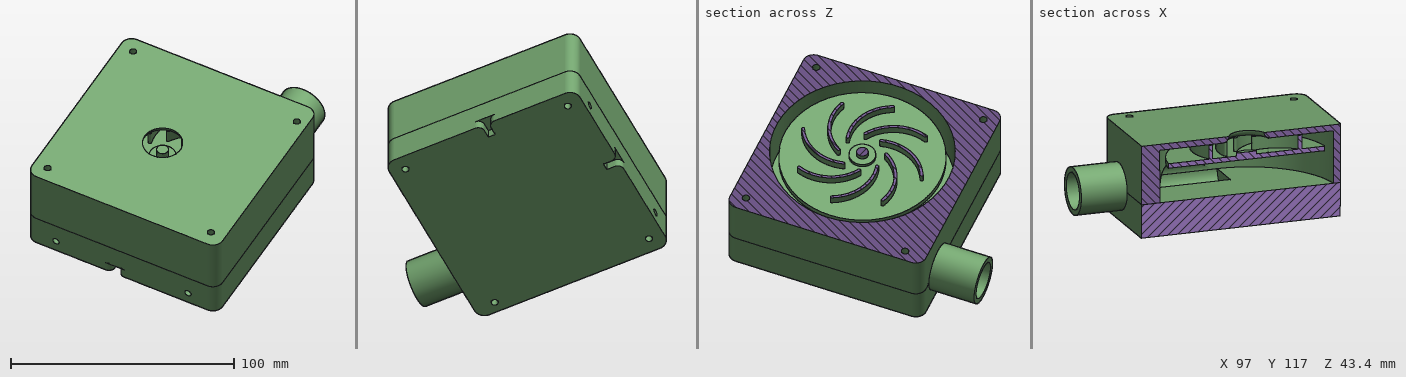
import cadquery as cq
import math

CASE_X = 97.0
CASE_Y = 95.1
CASE_Z = 43.4
SPLIT_Z = 15.9
CORNER_RADIUS = 5.0
SCREW_DIAMETER = 3.2
SCREW_POINTS = [(-41.5, 40.4), (43.3, 37.3), (-41.5, -40.5), (41.4, -40.5)]

AXIS_X = -3.5
AXIS_Y = -2.6
CHAMBER_DIAMETER = 83.0
TOP_PLATE = 3.0
INLET_DIAMETER = 18.0
CHAMBER_TOP_Z = CASE_Z - TOP_PLATE

TUBE_X = 29.4
TUBE_DIAMETER = 22.0
TUBE_BORE = 17.0
TOTAL_Y = 117.0
TUBE_END_Y = TOTAL_Y - CASE_Y / 2
TUBE_SEAT_DEPTH = 9.4
TUBE_START_Y = CASE_Y / 2 - TUBE_SEAT_DEPTH

NOTCH_HEIGHT = 4.8
NOTCH_WIDTH = 3.4
NOTCH_FLARE = 3.0
NOTCH_DEPTH = 7.0
NOTCH_X = -3.5
NOTCH_Y = -2.6
MOUNT_DIAMETER = 3.2
MOUNT_SPACING = 67.0
MOUNT_Z = 6.0
MOUNT_DEPTH = 7.0

IMPELLER_DIAMETER = 75.0
BACKPLATE_TOP_Z = CASE_Z - 9.6
BACKPLATE_THICKNESS = 2.3
HUB_DIAMETER = 12.0
HUB_TOP_Z = CASE_Z - 8.2
BLADE_COUNT = 8
BLADE_HEIGHT = 6.4
BLADE_THICKNESS = 1.5
BLADE_INNER_RADIUS = 10.8
BLADE_FIRST_ANGLE = 60
BLADE_LEAN = -46
BLADE_CURVE_RADIUS = 21.1
BLADE_ARC = 80

SHAFT_DIAMETER = 5.4
SHAFT_TOP_Z = CASE_Z - 4.3
SHAFT_SEAT_DEPTH = 7.0

QUARTER_ROUND_MIDDLE = math.radians(45)


def upright_cylinder(diameter, bottom, top, x=AXIS_X, y=AXIS_Y):
    return cq.Workplane("XY", origin=(x, y, bottom)).circle(diameter / 2).extrude(top - bottom)


def outlet_cylinder(diameter, start, end):
    """Cylinder along +Y on the outlet axis."""
    axis_start = (TUBE_X, start, SPLIT_Z)
    return cq.Workplane("XZ", origin=axis_start).circle(diameter / 2).extrude(start - end)


def case_block(bottom, top):
    """Rounded block of the case with the screw holes and the outlet cut away."""
    block = cq.Workplane("XY", origin=(0, 0, bottom)).rect(CASE_X, CASE_Y).extrude(top - bottom)
    block = block.edges("|Z").fillet(CORNER_RADIUS)
    for x, y in SCREW_POINTS:
        block = block.cut(upright_cylinder(SCREW_DIAMETER, bottom, top, x, y))
    block = block.cut(outlet_cylinder(TUBE_BORE, AXIS_Y, CASE_Y / 2))
    return block.cut(outlet_cylinder(TUBE_DIAMETER, TUBE_START_Y, CASE_Y / 2))


def notch_cutter():
    """Slot running +Y from the origin, its mouth flared by two convex quarter rounds."""
    half = NOTCH_WIDTH / 2
    mouth = half + NOTCH_FLARE
    middle = mouth - NOTCH_FLARE * math.sin(QUARTER_ROUND_MIDDLE)
    middle_depth = NOTCH_FLARE * (1 - math.cos(QUARTER_ROUND_MIDDLE))
    return (
        cq.Workplane("XY")
        .moveTo(-mouth, 0)
        .threePointArc((-middle, middle_depth), (-half, NOTCH_FLARE))
        .lineTo(-half, NOTCH_DEPTH)
        .lineTo(half, NOTCH_DEPTH)
        .lineTo(half, NOTCH_FLARE)
        .threePointArc((middle, middle_depth), (mouth, 0))
        .close()
        .extrude(NOTCH_HEIGHT)
    )


def make_base():
    base = case_block(0, SPLIT_Z)
    notch = notch_cutter()
    base = base.cut(notch.translate((NOTCH_X, -CASE_Y / 2, 0)))
    base = base.cut(notch.rotate((0, 0, 0), (0, 0, 1), -90).translate((-CASE_X / 2, NOTCH_Y, 0)))
    for x in (-MOUNT_SPACING / 2, MOUNT_SPACING / 2):
        front = cq.Workplane("XZ", origin=(x, -CASE_Y / 2, MOUNT_Z))
        base = base.cut(front.circle(MOUNT_DIAMETER / 2).extrude(-MOUNT_DEPTH))
    return base.cut(upright_cylinder(SHAFT_DIAMETER, SPLIT_Z - SHAFT_SEAT_DEPTH, SPLIT_Z))


def inlet_cutter():
    """Bell-mouthed inlet: narrowest at the top face, rounded out to the chamber ceiling."""
    throat = INLET_DIAMETER / 2
    mouth = throat + TOP_PLATE
    halfway = TOP_PLATE * (1 - math.sin(QUARTER_ROUND_MIDDLE))
    return (
        cq.Workplane("XZ", origin=(AXIS_X, AXIS_Y, CHAMBER_TOP_Z))
        .lineTo(mouth, 0)
        .threePointArc((throat + halfway, halfway), (throat, TOP_PLATE))
        .lineTo(0, TOP_PLATE)
        .close()
        .revolve(360, (0, 0), (0, 1))
    )


def make_upper_housing():
    housing = case_block(SPLIT_Z, CASE_Z)
    housing = housing.cut(upright_cylinder(CHAMBER_DIAMETER, SPLIT_Z, CHAMBER_TOP_Z))
    return housing.cut(inlet_cutter())


def make_tube():
    tube = outlet_cylinder(TUBE_DIAMETER, TUBE_START_Y, TUBE_END_Y)
    return tube.cut(outlet_cylinder(TUBE_BORE, TUBE_START_Y, TUBE_END_Y))


def polar_point(radius, degrees):
    angle = math.radians(degrees)
    return (radius * math.cos(angle), radius * math.sin(angle))


def make_blade(angle):
    """Arc-shaped blade whose inner end lies in the given direction from the blower axis."""
    outer = BLADE_CURVE_RADIUS + BLADE_THICKNESS / 2
    inner = BLADE_CURVE_RADIUS - BLADE_THICKNESS / 2
    start = 90
    middle = start - BLADE_ARC / 2
    end = start - BLADE_ARC
    cap_angle = math.degrees(BLADE_THICKNESS / 2 / BLADE_CURVE_RADIUS)
    return (
        cq.Workplane("XY")
        .moveTo(*polar_point(outer, start))
        .threePointArc(polar_point(outer, middle), polar_point(outer, end))
        .threePointArc(polar_point(BLADE_CURVE_RADIUS, end - cap_angle), polar_point(inner, end))
        .threePointArc(polar_point(inner, middle), polar_point(inner, start))
        .threePointArc(polar_point(BLADE_CURVE_RADIUS, start + cap_angle), polar_point(outer, start))
        .close()
        .extrude(BLADE_HEIGHT)
        .translate((0, -BLADE_CURVE_RADIUS, 0))
        .rotate((0, 0, 0), (0, 0, 1), BLADE_LEAN)
        .translate((BLADE_INNER_RADIUS, 0, 0))
        .rotate((0, 0, 0), (0, 0, 1), angle)
        .translate((AXIS_X, AXIS_Y, BACKPLATE_TOP_Z))
    )


def make_impeller():
    backplate_bottom = BACKPLATE_TOP_Z - BACKPLATE_THICKNESS
    impeller = upright_cylinder(IMPELLER_DIAMETER, backplate_bottom, BACKPLATE_TOP_Z)
    impeller = impeller.union(upright_cylinder(HUB_DIAMETER, backplate_bottom, HUB_TOP_Z))
    for index in range(BLADE_COUNT):
        impeller = impeller.union(make_blade(BLADE_FIRST_ANGLE + index * 360 / BLADE_COUNT))
    return impeller.cut(upright_cylinder(SHAFT_DIAMETER, backplate_bottom, HUB_TOP_Z))


def make_shaft():
    return upright_cylinder(SHAFT_DIAMETER, SPLIT_Z - SHAFT_SEAT_DEPTH, SHAFT_TOP_Z)


base = make_base()
upper_housing = make_upper_housing()
tube = make_tube()
impeller = make_impeller()
shaft = make_shaft()

result = cq.Compound.makeCompound(
    [base.val(), upper_housing.val(), tube.val(), impeller.val(), shaft.val()]
)